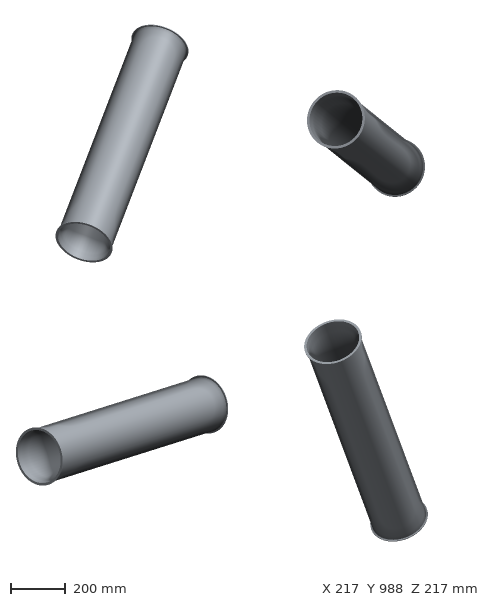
import cadquery as cq

length = 988.0
bore_diameter = 199.0
tube_diameter = 205.0
flange_diameter = 217.0
flange_thickness = 3.0


def cylinder_along_y(diameter, start, depth):
    """Solid cylinder from Y = start to Y = start + depth."""
    plane = cq.Workplane("XZ", origin=(0, start, 0))
    return plane.circle(diameter / 2).extrude(-depth)


tube = cylinder_along_y(tube_diameter, -length / 2, length)

for flange_start in (-length / 2, length / 2 - flange_thickness):
    tube = tube.union(cylinder_along_y(flange_diameter, flange_start, flange_thickness))

result = tube.cut(cylinder_along_y(bore_diameter, -length / 2, length))